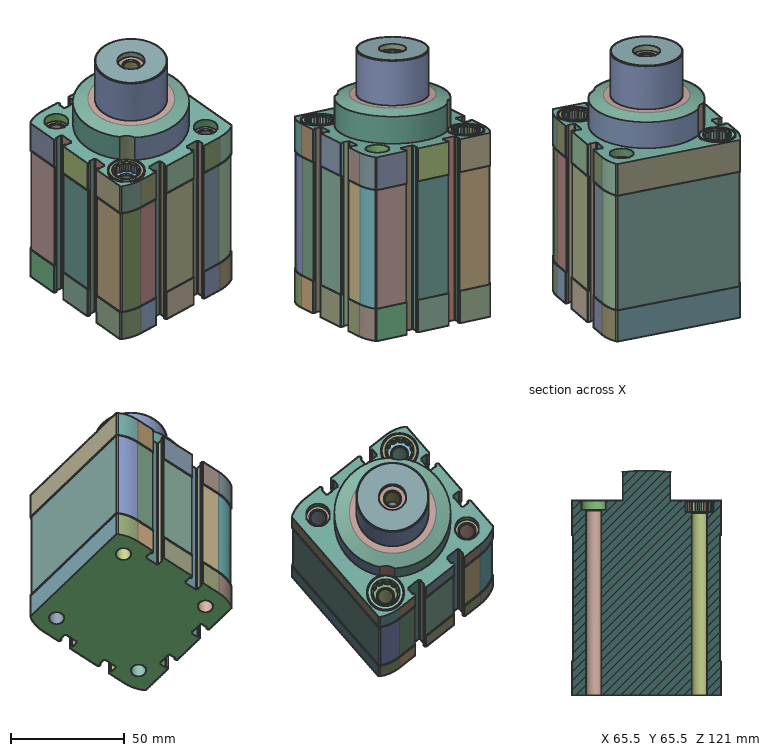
import cadquery as cq
import math

total_height = 121.0
block_height = 85.5
collar_height = 100.0
lower_cap_height = 15.0
upper_cap_base = 70.2

block_width = 65.5
barrel_inset = 0.4
corner_radius = 18.8
corner_arc_start = 23.0
corner_bevel = 0.6

slot_spacing = 22.1
slot_depth = 4.8
slot_lip = 1.5
slot_mouth_bevel = 0.4
slot_floor_bevel = 0.5
slot_neck_width = 5.5
slot_inner_width = 6.8

collar_diameter = 51.1
collar_flat_diameter = 38.1
collar_bevel_height = 1.8

hole_spacing = 46.5
hole_diameter = 6.7
thread_diameter = 7.7
recess_diameter = 10.5
recess_depth = 4.0

head_diameter = 16.5
head_chamfer = 0.5
socket_mouth_diameter = 12.6
socket_mouth_depth = 0.5
socket_bore_diameter = 10.8
socket_corner_diameter = 12.3
socket_depth = 5.0

rod_diameter = 32.0
rod_chamfer = 0.4
rod_recess_diameter = 12.0
rod_recess_depth = 2.5
rod_hole_depth = 14.5
drill_point_angle = 120.0

thread_chamfer = (thread_diameter - hole_diameter) / 2
hole_offset = hole_spacing / 2


def cylinder(diameter, bottom, top, x=0, y=0):
    """Vertical cylinder between two heights."""
    base = cq.Workplane("XY", origin=(x, y, bottom))
    return base.circle(diameter / 2).extrude(top - bottom)


def cone(bottom_diameter, top_diameter, bottom, height, x=0, y=0):
    """Vertical cone or truncated cone."""
    solid = cq.Solid.makeCone(bottom_diameter / 2, top_diameter / 2, height, cq.Vector(x, y, bottom))
    return cq.Workplane(solid)


def block_section(bottom, top, inset):
    """Slice of the square block with an arc and a small bevel at each vertical corner."""
    side = block_width / 2 - inset
    radius = corner_radius - inset
    center_x = block_width / 2 - corner_radius
    arc_end = side - corner_bevel
    end_angle = math.asin((arc_end - corner_arc_start) / radius)
    end_x = center_x + radius * math.cos(end_angle)
    mid_x = center_x + radius * math.cos(end_angle / 2)
    mid_y = corner_arc_start + radius * math.sin(end_angle / 2)
    face_x = end_x - corner_bevel
    outline = (
        cq.Workplane("XY", origin=(0, 0, bottom))
        .moveTo(side, -corner_arc_start)
        .lineTo(side, corner_arc_start)
        .threePointArc((mid_x, mid_y), (end_x, arc_end))
        .lineTo(face_x, side)
        .lineTo(-face_x, side)
        .lineTo(-end_x, arc_end)
        .threePointArc((-mid_x, mid_y), (-side, corner_arc_start))
        .lineTo(-side, -corner_arc_start)
        .threePointArc((-mid_x, -mid_y), (-end_x, -arc_end))
        .lineTo(-face_x, -side)
        .lineTo(face_x, -side)
        .lineTo(end_x, -arc_end)
        .threePointArc((mid_x, -mid_y), (side, -corner_arc_start))
        .close()
    )
    return outline.extrude(top - bottom)


def slot(center_x, bottom, top, inset):
    """T-slot in the -Y side of one slice, with a bevelled mouth and bevelled floor corners."""
    outer_face = -block_width / 2
    face = outer_face + inset
    neck = slot_neck_width / 2
    mouth = neck + slot_mouth_bevel
    inner = slot_inner_width / 2
    floor = outer_face + slot_depth
    half_outline = [
        (mouth, face),
        (neck, face + slot_mouth_bevel),
        (neck, outer_face + slot_lip),
        (inner, outer_face + slot_lip),
        (inner, floor - slot_floor_bevel),
        (inner - slot_floor_bevel, floor),
    ]
    mirrored = [(-x, y) for x, y in reversed(half_outline)]
    outline = cq.Workplane("XY", origin=(center_x, 0, bottom)).polyline(half_outline + mirrored).close()
    return outline.extrude(top - bottom)


def slotted_section(bottom, top, inset):
    """Slice of the block with two T-slots in each of the -Y, +X and -X sides."""
    section = block_section(bottom, top, inset)
    for center_x in (-slot_spacing / 2, slot_spacing / 2):
        cut = slot(center_x, bottom, top, inset)
        for turn in (0, 90, -90):
            section = section.cut(cut.rotate((0, 0, 0), (0, 0, 1), turn))
    return section


def threaded_hole(x, y, mouth):
    """Through hole whose countersunk mouth lies at the given height."""
    countersink = cone(hole_diameter, thread_diameter, mouth - thread_chamfer, thread_chamfer, x, y)
    return cylinder(hole_diameter, 0, mouth, x, y).union(countersink)


def recessed_hole(x, y):
    """Mounting hole below a plain round recess."""
    floor = block_height - recess_depth
    recess = cylinder(recess_diameter, floor, block_height, x, y)
    return recess.union(threaded_hole(x, y, floor))


def socket_head(x, y):
    """Cut that leaves a chamfered screw head, level with the block, with a twelve-point socket."""
    floor = block_height - socket_depth
    clearance = cylinder(head_diameter, block_height, collar_height, x, y)
    rim_bottom = block_height - head_chamfer
    rim = cylinder(head_diameter, rim_bottom, block_height, x, y).cut(
        cone(head_diameter, head_diameter - 2 * head_chamfer, rim_bottom, head_chamfer, x, y)
    )
    mouth_bottom = block_height - socket_mouth_depth
    mouth = cone(socket_bore_diameter, socket_mouth_diameter, mouth_bottom, socket_mouth_depth, x, y)
    bore = cylinder(socket_bore_diameter, floor, block_height, x, y)
    cut = clearance.union(rim).union(mouth).union(bore).union(threaded_hole(x, y, floor))
    for turn in (0, 30, 60):
        square = (
            cq.Workplane("XY")
            .polygon(4, socket_corner_diameter)
            .extrude(mouth_bottom - floor)
            .rotate((0, 0, 0), (0, 0, 1), turn)
            .translate((x, y, floor))
        )
        cut = cut.union(square)
    return cut


def make_housing():
    """End caps, barrel and collar with slots and mounting holes."""
    body = slotted_section(0, lower_cap_height, 0)
    body = body.union(slotted_section(lower_cap_height, upper_cap_base, barrel_inset))
    body = body.union(slotted_section(upper_cap_base, block_height, 0))
    bevel_bottom = collar_height - collar_bevel_height
    body = body.union(cylinder(collar_diameter, block_height, bevel_bottom))
    body = body.union(cone(collar_diameter, collar_flat_diameter, bevel_bottom, collar_bevel_height))
    for side in (-1, 1):
        body = body.cut(recessed_hole(side * hole_offset, side * hole_offset))
        body = body.cut(socket_head(side * hole_offset, -side * hole_offset))
    return body


def make_rod():
    """Piston rod standing on the collar, with a blind hole in its end."""
    rod = cylinder(rod_diameter, collar_height, total_height).faces(">Z").chamfer(rod_chamfer)
    mouth = total_height - rod_recess_depth
    hole_end = mouth - rod_hole_depth
    point_height = hole_diameter / 2 / math.tan(math.radians(drill_point_angle / 2))
    rod = rod.cut(cylinder(rod_recess_diameter, mouth, total_height))
    rod = rod.cut(cone(hole_diameter, thread_diameter, mouth - thread_chamfer, thread_chamfer))
    rod = rod.cut(cylinder(hole_diameter, hole_end, mouth))
    return rod.cut(cone(0, hole_diameter, hole_end - point_height, point_height))


housing = make_housing()
rod = make_rod()

result = cq.Compound.makeCompound([housing.val(), rod.val()])